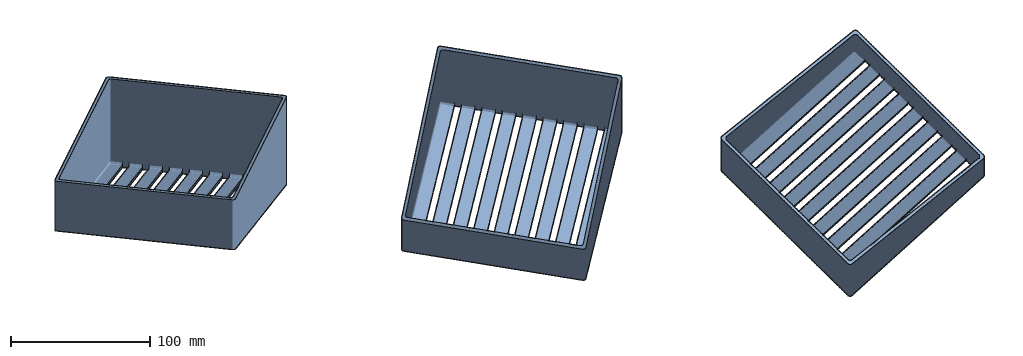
import cadquery as cq

side = 135.0
back_height = 68.0
front_height = 38.5
wall = 2.4
floor = 2.0
outer_radius = 2.0
inner_radius = 2.0
slot_count = 8
slot_width = 5.0
slot_pitch = 15.0

inner_side = side - 2 * wall


def sloped_block():
    """Solid wedge with rounded vertical corners, taller at the back (+Y)."""
    profile = [
        (-side / 2, 0),
        (side / 2, 0),
        (side / 2, back_height),
        (-side / 2, front_height),
    ]
    block = cq.Workplane("YZ").polyline(profile).close().extrude(side / 2, both=True)
    return block.edges("|Z").fillet(outer_radius)


def cavity():
    """Inside space, rounded at the vertical corners and along the floor."""
    return (
        cq.Workplane("XY")
        .workplane(offset=floor)
        .rect(inner_side, inner_side)
        .extrude(back_height)
        .edges("|Z or <Z")
        .fillet(inner_radius)
    )


def floor_slots():
    """Parallel slots through the floor, running from front wall to back wall."""
    slot_height = floor + inner_radius
    return (
        cq.Workplane("XY")
        .rarray(slot_pitch, 1.4, slot_count, 1)
        .rect(slot_width, inner_side)
        .extrude(slot_height)
    )


result = sloped_block().cut(cavity()).cut(floor_slots())